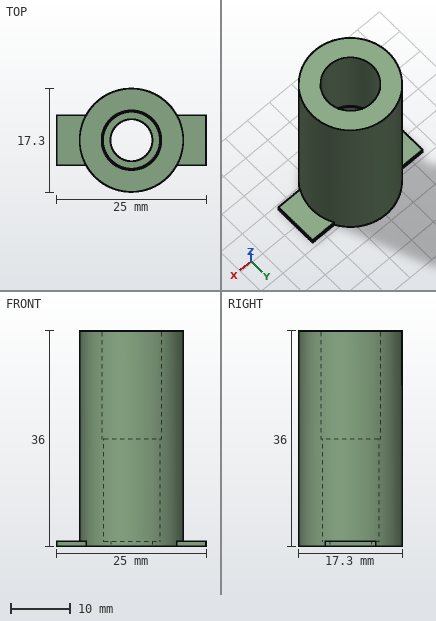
import cadquery as cq

height = 36.0
outer_diameter = 17.3

tab_span = 25.0
tab_width = 8.42
tab_thickness = 0.9

mouth_diameter = 10.0
lower_diameter = 9.5
through_diameter = 7.0
mouth_depth = height / 2
floor_thickness = tab_thickness


def make_body():
    """Round sleeve joined to one flat bar that forms both tabs."""
    sleeve = cq.Workplane("XY").circle(outer_diameter / 2).extrude(height)
    tabs = cq.Workplane("XY").box(tab_span, tab_width, tab_thickness, centered=(True, True, False))
    return sleeve.union(tabs)


def make_bore():
    """Stepped bore and through hole, revolved about Z as one cutter."""
    profile = [
        (0, 0),
        (through_diameter / 2, 0),
        (through_diameter / 2, floor_thickness),
        (lower_diameter / 2, floor_thickness),
        (lower_diameter / 2, height - mouth_depth),
        (mouth_diameter / 2, height - mouth_depth),
        (mouth_diameter / 2, height),
        (0, height),
    ]
    return cq.Workplane("XZ").polyline(profile).close().revolve(360, (0, 0, 0), (0, 1, 0))


result = make_body().cut(make_bore())